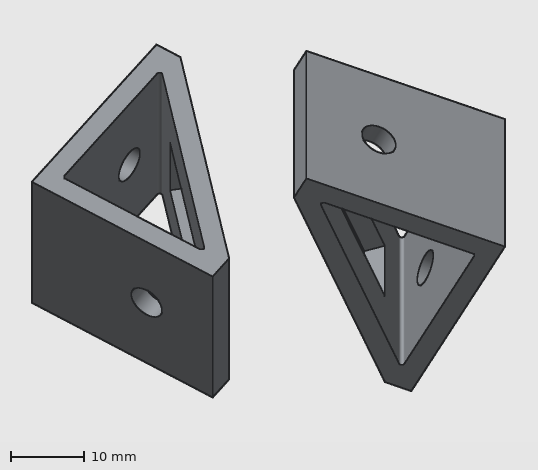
import cadquery as cq
import math

leg_length = 30.0
height = 25.4

wall = 3.05
brace_wall = 3.0
end_flat = 4.0
corner_radius = 0.4

hole_diameter = 5.1
hole_offset = 19.05

window_width = 20.0
window_height = 10.0

outer_sum = leg_length + end_flat
inner_sum = outer_sum - brace_wall * math.sqrt(2)
opening_tip = inner_sum - wall


def make_body():
    """Right-angled prism with blunt ends on both legs."""
    outline = [
        (0, 0),
        (leg_length, 0),
        (leg_length, end_flat),
        (end_flat, leg_length),
        (0, leg_length),
    ]
    return cq.Workplane("XY").polyline(outline).close().extrude(height)


def make_opening():
    """Triangular opening with rounded corners, running the full height."""
    outline = [(wall, wall), (opening_tip, wall), (wall, opening_tip)]
    opening = cq.Workplane("XY").polyline(outline).close().extrude(height)
    return opening.edges("|Z").fillet(corner_radius)


def make_hole(direction, x, y):
    """Horizontal hole through a leg, in line with the access window."""
    return cq.Workplane(
        cq.Solid.makeCylinder(
            hole_diameter / 2,
            2 * wall,
            cq.Vector(x, y, height / 2),
            cq.Vector(*direction),
        )
    )


def make_window():
    """Rectangular cutter centred on the sloping wall and square to it."""
    wall_middle = (outer_sum + inner_sum) / 4
    return (
        cq.Workplane("XY")
        .box(2 * brace_wall, window_width, window_height)
        .rotate((0, 0, 0), (0, 0, 1), 45)
        .translate((wall_middle, wall_middle, height / 2))
    )


result = (
    make_body()
    .cut(make_opening())
    .cut(make_hole((0, 1, 0), hole_offset, 0))
    .cut(make_hole((1, 0, 0), 0, hole_offset))
    .cut(make_window())
)